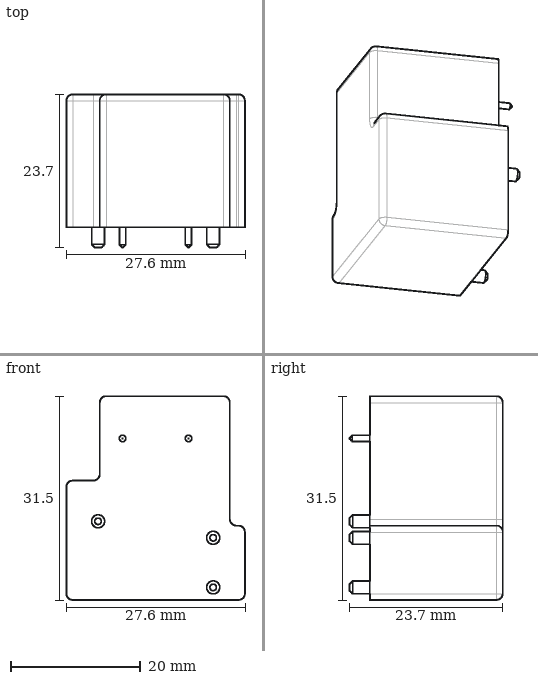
import cadquery as cq

width = 27.6
height = 31.5
total_depth = 23.7
pin_length = 3.15
body_depth = total_depth - pin_length
edge_radius = 1.0

left_step_width = 5.17
left_shelf_height = 18.45
right_step_width = 2.33
right_shelf_height = 11.5

thick_pin_diameter = 2.02
thick_pin_tip_chamfer = 0.5
right_pin_x = 22.68
thick_pin_centres = [(4.9, 12.15), (right_pin_x, 9.6), (right_pin_x, 1.95)]

thin_pin_diameter = 1.0
thin_pin_tip_chamfer = 0.47
thin_pin_z = 24.95
thin_pin_centres = [(8.7, thin_pin_z), (18.87, thin_pin_z)]


def make_body():
    """Extrude the stepped outline toward +Y, round its corners and then its back rim."""
    right_wall_x = width - right_step_width
    outline = [
        (0, 0),
        (width, 0),
        (width, right_shelf_height),
        (right_wall_x, right_shelf_height),
        (right_wall_x, height),
        (left_step_width, height),
        (left_step_width, left_shelf_height),
        (0, left_shelf_height),
    ]
    block = cq.Workplane("XZ").polyline(outline).close().extrude(-body_depth)
    return block.edges("|Y").fillet(edge_radius).faces(">Y").edges().fillet(edge_radius)


def make_pin(x, z, diameter, tip_chamfer):
    """Cylinder toward -Y with a conical tip."""
    pin = cq.Workplane("XZ").center(x, z).circle(diameter / 2).extrude(pin_length)
    return pin.faces("<Y").edges().chamfer(tip_chamfer)


result = make_body()
for pin_x, pin_z in thick_pin_centres:
    result = result.union(make_pin(pin_x, pin_z, thick_pin_diameter, thick_pin_tip_chamfer))
for pin_x, pin_z in thin_pin_centres:
    result = result.union(make_pin(pin_x, pin_z, thin_pin_diameter, thin_pin_tip_chamfer))